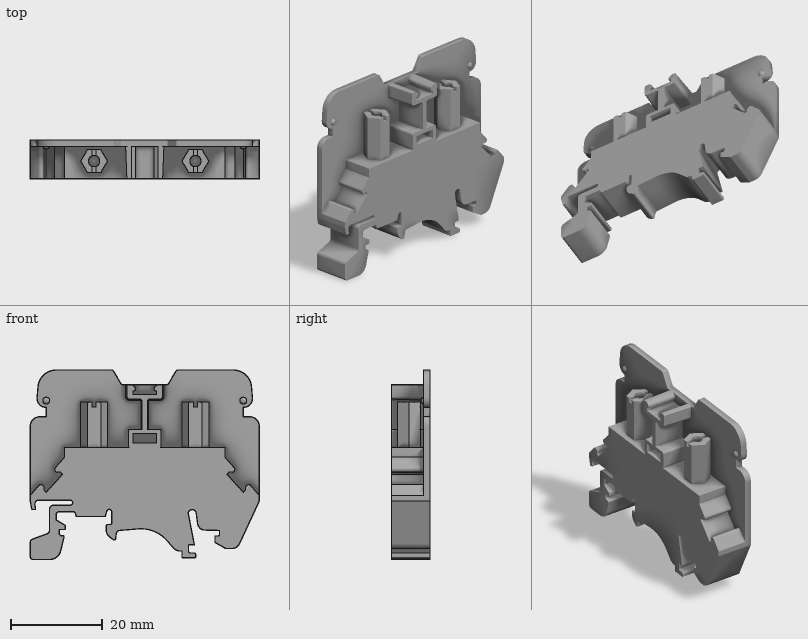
import cadquery as cq
import math

depth = 8.5
plate_thickness = 1.5
body_depth = depth - plate_thickness
half_length = 25.0
plate_top = 41.4
notch_floor = 38.2
body_top = 24.45

wall_bottom = 12.75

screw_x = 11.05
screw_y = 3.85
screw_top = 34.35
screw_flats = 5.05
bore_diameter = 2.45
bore_depth = 5.0
driver_slot_width = 0.9
driver_slot_depth = 1.0

dome_x = 21.5
dome_z = 34.7
dome_radius = 0.75
dome_height = 0.5

box_half_width = 3.6
box_bottom = 24.3
box_top = 28.45
box_corner_radius = 0.5

opening_half_width = 2.6
window_bottom = 25.45
window_top = 27.5

cup_half_width = 3.9
cup_bottom = 35.05
cup_floor = 36.0
cup_corner_radius = 0.5
cup_rim_radius = 0.3
web_half_width = 0.55
web_root_radius = 0.65
draft = 0.275
draft_angle = math.degrees(math.atan(draft / body_depth))

lip_half_gap = 2.05
lip_bottom = 36.7
lip_lower_corner = 37.0
lip_lower_radius = 0.2
lip_upper_corner = 37.6
lip_upper_radius = 0.6
lip_top_half_gap = 2.85


def rounded_outline(corners):
    """Closed XZ wire through (x, z, radius) corners, each rounded by a tangent arc."""
    edges = []
    count = len(corners)
    previous_end = None
    first_start = None
    for index, (x, z, radius) in enumerate(corners):
        corner = cq.Vector(x, 0, z)
        before = corners[index - 1]
        after = corners[(index + 1) % count]
        toward_before = (cq.Vector(before[0], 0, before[1]) - corner).normalized()
        toward_after = (cq.Vector(after[0], 0, after[1]) - corner).normalized()
        start = corner
        end = corner
        if radius > 0:
            half_angle = toward_before.getAngle(toward_after) / 2
            setback = radius / math.tan(half_angle)
            start = corner + toward_before * setback
            end = corner + toward_after * setback
            bisector = (toward_before + toward_after).normalized()
            middle = corner + bisector * (radius / math.sin(half_angle) - radius)
        if previous_end is None:
            first_start = start
        else:
            edges.append(cq.Edge.makeLine(previous_end, start))
        if radius > 0:
            edges.append(cq.Edge.makeThreePointArc(start, middle, end))
        previous_end = end
    edges.append(cq.Edge.makeLine(previous_end, first_start))
    return cq.Wire.assembleEdges(edges)


def prism(corners, y_front, y_back):
    """Solid between two Y positions with a rounded outline."""
    wire = rounded_outline(corners)
    solid = cq.Solid.extrudeLinear(wire, [], cq.Vector(0, y_back - y_front, 0))
    return cq.Workplane(obj=solid.translate(cq.Vector(0, y_front, 0)))


def with_mirror(left_corners):
    """Left-hand corners followed by their mirror image in X = 0."""
    return left_corners + [(-x, z, radius) for x, z, radius in reversed(left_corners)]


def block(half_width, y_front, y_back, z_low, z_high):
    """Box centred on x = 0."""
    return (
        cq.Workplane()
        .box(2 * half_width, y_back - y_front, z_high - z_low, centered=(True, False, False))
        .translate((0, y_front, z_low))
    )


rail_side = [
    (half_length, wall_bottom, 0),
    (20.2, 2.4, 1.9),
    (17.7, 2.4, 0.25),
    (15.3, 3.75, 0.15),
    (15.3, 5.2, 0),
    (16.3, 5.2, 0.25),
    (16.3, 6.35, 0),
    (11.7, 6.45, 1.7),
    (11.1, 10.9, 0.8),
    (9.35, 10.9, 0.8),
    (10.85, 3.25, 0),
    (9.6, 3.25, 0),
    (9.6, 1.5, 0.25),
    (11.15, 1.5, 0.5),
    (11.15, 0.375, 0.25),
    (8.1, 0.375, 0.25),
    (8.1, 1.85, 0),
    (6.8, 1.9, 2.0),
    (2.4, 7.0, 7.5),
    (-6.1, 6.3, 0.75),
    (-6.4, 3.95, 0.4),
    (-8.45, 5.55, 2.0),
    (-8.45, 7.7, 0.45),
    (-7.25, 7.7, 0.15),
    (-7.25, 10.95, 0.475),
    (-8.15, 10.95, 0.475),
    (-8.6, 9.4, 0.2),
    (-14.95, 9.4, 0.15),
    (-15.25, 10.4, 0.3),
    (-19.3, 10.4, 0.5),
    (-19.3, 8.65, 0),
    (-17.3, 7.5, 0.2),
    (-17.3, 6.55, 0.2),
    (-18.65, 6.55, 0.15),
    (-18.65, 5.25, 0.5),
    (-17.5, 5.25, 0.3),
    (-18.8, 0, 2.5),
    (-half_length, 0, 0.7),
    (-half_length, 4.3, 0.75),
    (-20.8, 5.85, 0.75),
    (-20.8, 11.9, 0.9),
    (-15.75, 11.9, 0.5),
    (-15.75, 12.95, 0.5),
    (-23.9, 12.95, 0.75),
    (-23.95, 11.9, 0),
    (-23.75, 10.9, 0.25),
    (-24.65, 10.9, 0.25),
    (-half_length, wall_bottom, 0),
]

body_shoulder = [
    (-half_length, 14.0, 0),
    (-22.0, 17.45, 0.65),
    (-22.0, 15.25, 0.2),
    (-21.5, 14.7, 0),
    (-17.95, 18.6, 0),
    (-18.5, 19.2, 0.25),
    (-19.2, 19.05, 0.15),
    (-19.9, 19.65, 0.6),
    (-17.5, 22.35, 0),
    (-17.5, body_top, 0),
]

plate_shoulder = [
    (-half_length, 31.2, 2.1),
    (-21.5, 31.2, 0),
    (-21.5, 33.2, 0),
    (-23.7, 33.2, 2.0),
    (-23.0, plate_top, 4.0),
    (-6.95, plate_top, 0.5),
    (-5.05, notch_floor, 0.5),
]


def make_screw(x):
    """Hexagonal post with two corners pointing along X."""
    post = (
        cq.Workplane(origin=(x, screw_y, body_top))
        .polygon(6, screw_flats / math.cos(math.pi / 6))
        .extrude(screw_top - body_top)
    )
    bore = (
        cq.Workplane(origin=(x, screw_y, screw_top - bore_depth))
        .circle(bore_diameter / 2)
        .extrude(bore_depth)
    )
    driver_slot = (
        cq.Workplane(origin=(x, screw_y, screw_top - driver_slot_depth))
        .rect(driver_slot_width, 2 * screw_flats)
        .extrude(driver_slot_depth)
    )
    return post.cut(bore).cut(driver_slot)


def make_dome(x):
    """Spherical cap standing on the front face of the plate."""
    sphere_radius = (dome_radius**2 + dome_height**2) / (2 * dome_height)
    centre_y = body_depth - dome_height + sphere_radius
    sphere = cq.Workplane().sphere(sphere_radius).translate((x, centre_y, dome_z))
    return sphere.intersect(block(half_length, 0, depth, 0, plate_top))


def make_box():
    """Rounded box on the body top with a window that ends at the plate."""
    outer = prism(
        with_mirror(
            [
                (-box_half_width, box_bottom, box_corner_radius),
                (-box_half_width, box_top, box_corner_radius),
            ]
        ),
        0,
        body_depth,
    )
    window = block(opening_half_width, 0, body_depth, window_bottom, window_top)
    return outer.cut(window)


def make_cup():
    """Drafted web and cup; the cup opens upward between two snap lips."""
    above_rim = notch_floor + 2 * draft
    below_box_top = box_top - 2 * box_corner_radius
    outline = rounded_outline(
        with_mirror(
            [
                (-web_half_width, below_box_top, 0),
                (-web_half_width, cup_bottom, web_root_radius),
                (-cup_half_width, cup_bottom, cup_corner_radius),
                (-cup_half_width, above_rim, 0),
            ]
        )
    )
    solid = cq.Solid.extrudeLinear(outline, [], cq.Vector(0, body_depth, 0), taper=-draft_angle)
    web_root = box_top - box_corner_radius
    limits = block(half_length, 0, body_depth, web_root, notch_floor)
    cup = cq.Workplane(obj=solid).intersect(limits)
    cup = cup.faces(">Z").edges("<X or >X").fillet(cup_rim_radius)
    channel = prism(
        with_mirror(
            [
                (-opening_half_width, cup_floor, 0),
                (-opening_half_width, lip_bottom, 0),
                (-lip_half_gap, lip_lower_corner, lip_lower_radius),
                (-lip_half_gap, lip_upper_corner, lip_upper_radius),
                (-lip_top_half_gap, notch_floor, 0),
            ]
        ),
        0,
        body_depth,
    )
    return cup.cut(channel)


plate = prism(rail_side + with_mirror(plate_shoulder), body_depth, depth)
body = prism(rail_side + with_mirror(body_shoulder), 0, body_depth)
result = plate.union(body).union(make_box()).union(make_cup())
for side in (-1, 1):
    result = result.union(make_screw(side * screw_x))
    result = result.union(make_dome(side * dome_x))